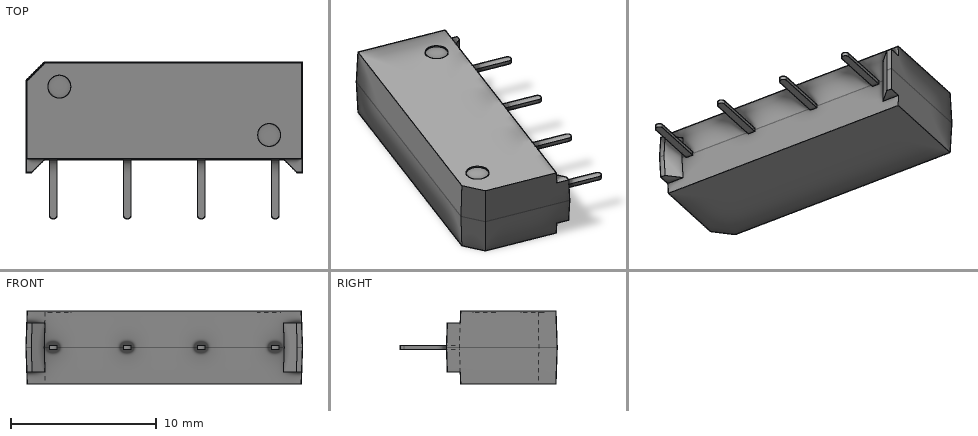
import cadquery as cq

case_length = 19.0
case_width = 7.62
case_height = 5.03
half_height = case_height / 2
draft_angle = 2.0
corner_chamfer = 1.27

foot_height = 0.89
foot_tip_width = 0.37
foot_half_thickness = 1.69

recess_diameter = 1.57
recess_depth = 0.1
recess_x = 7.2
far_recess_y = 5.92
near_recess_y = 2.6
recess_centers = [(-recess_x, far_recess_y), (recess_x, near_recess_y)]

pin_count = 4
pin_pitch = 5.08
pin_width = 0.53
pin_thickness = 0.28
pin_reach = 3.17
pin_embed = 0.5

left_x = -case_length / 2
right_x = case_length / 2


def drafted_block(bottom_y, height):
    """Case outline with one chamfered corner, drafted up and down from Z = 0."""
    outline = [
        (left_x, bottom_y),
        (right_x, bottom_y),
        (right_x, case_width),
        (left_x + corner_chamfer, case_width),
        (left_x, case_width - corner_chamfer),
    ]
    upper = cq.Workplane("XY").polyline(outline).close().extrude(height, taper=draft_angle)
    return upper.union(upper.mirror("XY"))


def foot_gap():
    """Space between the feet, with 45 degree flanks, reaching up into the case."""
    gap_top = 2 * foot_height
    tip_x = right_x - foot_tip_width
    top_x = tip_x - gap_top
    return (
        cq.Workplane("XY")
        .polyline([(-tip_x, 0), (tip_x, 0), (top_x, gap_top), (-top_x, gap_top)])
        .close()
        .extrude(foot_half_thickness, both=True)
    )


def feet():
    """Drafted block, cut down to the foot thickness and the two end stand-offs."""
    slab = cq.Workplane("XY").box(2 * case_length, 2 * case_width, 2 * foot_half_thickness)
    return drafted_block(0, half_height).intersect(slab).cut(foot_gap())


def recesses():
    return (
        cq.Workplane("XY", origin=(0, 0, half_height))
        .pushPoints(recess_centers)
        .circle(recess_diameter / 2)
        .extrude(-recess_depth)
    )


def pin(center_x):
    """Flat pin pointing along -Y, ending in a half round."""
    radius = pin_width / 2
    root_y = foot_height + pin_embed
    shoulder_y = radius - pin_reach
    return (
        cq.Workplane("XY")
        .moveTo(center_x - radius, root_y)
        .lineTo(center_x - radius, shoulder_y)
        .threePointArc((center_x, -pin_reach), (center_x + radius, shoulder_y))
        .lineTo(center_x + radius, root_y)
        .close()
        .extrude(pin_thickness / 2, both=True)
    )


result = drafted_block(foot_height, half_height).union(feet()).cut(recesses())
for index in range(pin_count):
    result = result.union(pin((index - (pin_count - 1) / 2) * pin_pitch))